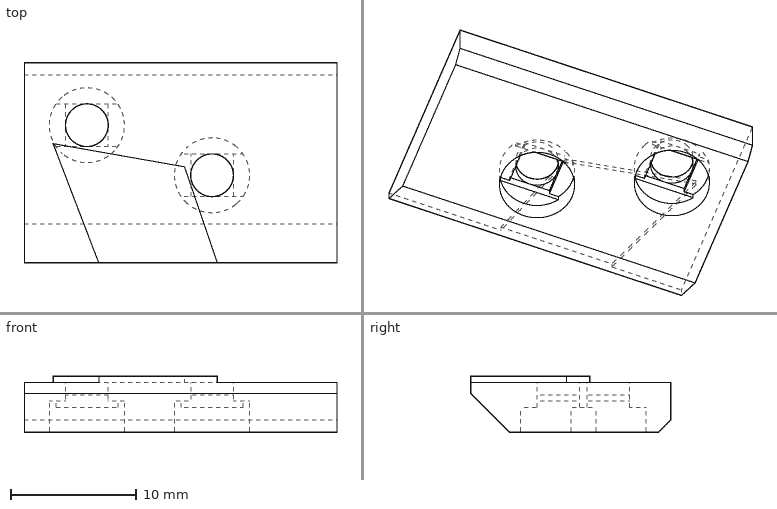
import cadquery as cq

LENGTH = 25.0
DEPTH = 16.0
BASE_HEIGHT = 4.0
FRONT_BEVEL = 3.1
BACK_CHAMFER = 1.0

PLATE_RISE = 0.5
PLATE_SINK = 0.5
PLATE_CORNERS = [(5.95, 0.0), (15.42, 0.0), (12.8, 7.68), (2.3, 9.52)]

HOLE_CENTRES = [(5.0, 11.0), (15.0, 7.0)]
HOLE_DIAMETER = 3.4
HEAD_DIAMETER = 6.0
HOLE_NECK = 1.0
STEP_HEIGHT = 0.5


def base_block():
    """Block with a large bevel along the bottom front edge and a chamfer at the back."""
    profile = [
        (0, BASE_HEIGHT),
        (0, FRONT_BEVEL),
        (FRONT_BEVEL, 0),
        (DEPTH - BACK_CHAMFER, 0),
        (DEPTH, BACK_CHAMFER),
        (DEPTH, BASE_HEIGHT),
    ]
    return cq.Workplane("YZ").polyline(profile).close().extrude(LENGTH)


def raised_plate():
    """Plate let into the base and standing proud of its top face."""
    bottom = BASE_HEIGHT - PLATE_SINK
    outline = cq.Workplane("XY").workplane(offset=bottom).polyline(PLATE_CORNERS).close()
    return outline.extrude(PLATE_SINK + PLATE_RISE)


def screw_hole(x, y):
    """Round hole that widens downwards through a square and a slot to a round head pocket."""
    square_top = BASE_HEIGHT - HOLE_NECK
    slot_top = square_top - STEP_HEIGHT
    pocket_top = slot_top - STEP_HEIGHT
    floor = cq.Workplane("XY").center(x, y)

    hole = floor.circle(HOLE_DIAMETER / 2).extrude(BASE_HEIGHT + PLATE_RISE)
    square = floor.rect(HOLE_DIAMETER, HOLE_DIAMETER).extrude(square_top)
    head_circle = floor.circle(HEAD_DIAMETER / 2).extrude(slot_top)
    slot = floor.rect(HEAD_DIAMETER, HOLE_DIAMETER).extrude(slot_top).intersect(head_circle)
    pocket = floor.circle(HEAD_DIAMETER / 2).extrude(pocket_top)
    return hole.union(square).union(slot).union(pocket)


result = base_block().union(raised_plate())
for x, y in HOLE_CENTRES:
    result = result.cut(screw_hole(x, y))